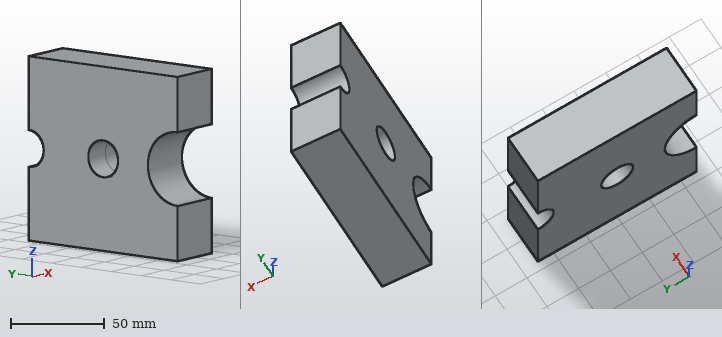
import cadquery as cq

side = 100
thickness = 30

center_hole_radius = 10
front_notch_radius = 20
back_notch_radius = 10


def through_cylinder(y_position, radius):
    """Cylinder along X spanning the full plate thickness."""
    return (
        cq.Workplane("YZ")
        .center(y_position, 0)
        .circle(radius)
        .extrude(thickness / 2, both=True)
    )


result = cq.Workplane("XY").box(thickness, side, side)

for y_position, radius in (
    (0, center_hole_radius),
    (-side / 2, front_notch_radius),
    (side / 2, back_notch_radius),
):
    result = result.cut(through_cylinder(y_position, radius))